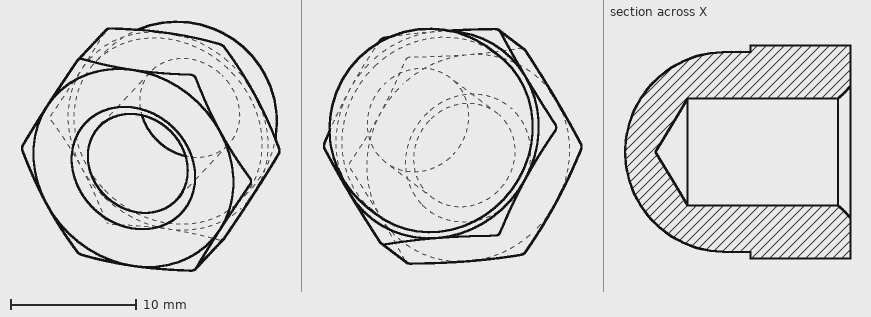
import cadquery as cq
import math

HEX_SIDES = 6
ACROSS_FLATS = 17.0
HEX_HEIGHT = 8.0
CORNER_RADIUS = 0.5
CHAMFER_ANGLE = 30.0

DOME_DIAMETER = 16.0
TOTAL_HEIGHT = 18.0

HOLE_DIAMETER = 8.5
HOLE_DEPTH = 13.0
DRILL_POINT_ANGLE = 118.0
COUNTERSINK_DIAMETER = 10.5
COUNTERSINK_ANGLE = 90.0

flat_radius = ACROSS_FLATS / 2
corner_distance = flat_radius / math.cos(math.pi / HEX_SIDES)
dome_radius = DOME_DIAMETER / 2
dome_base = TOTAL_HEIGHT - dome_radius
hole_radius = HOLE_DIAMETER / 2
countersink_radius = COUNTERSINK_DIAMETER / 2


def revolve_about_y(profile):
    """Turn a closed XY half-profile a full turn about the Y axis."""
    return profile.close().revolve(360, (0, 0, 0), (0, 1, 0))


def make_hexagon():
    """Hexagonal prism with corners along X and rounded edges along Y."""
    prism = cq.Workplane("XZ").polygon(HEX_SIDES, 2 * corner_distance).extrude(-HEX_HEIGHT)
    return prism.edges("|Y").fillet(CORNER_RADIUS)


def make_chamfer_envelope():
    """Turned body whose conical ends trim the hexagon corners."""
    chamfer_height = (corner_distance - flat_radius) * math.tan(math.radians(CHAMFER_ANGLE))
    return revolve_about_y(
        cq.Workplane("XY")
        .moveTo(0, 0)
        .lineTo(flat_radius, 0)
        .lineTo(corner_distance, chamfer_height)
        .lineTo(corner_distance, HEX_HEIGHT - chamfer_height)
        .lineTo(flat_radius, HEX_HEIGHT)
        .lineTo(0, HEX_HEIGHT)
    )


def make_dome():
    """Short cylindrical collar closed by a hemisphere."""
    diagonal = dome_radius * math.sqrt(0.5)
    return revolve_about_y(
        cq.Workplane("XY")
        .moveTo(0, HEX_HEIGHT / 2)
        .lineTo(dome_radius, HEX_HEIGHT / 2)
        .lineTo(dome_radius, dome_base)
        .threePointArc((diagonal, dome_base + diagonal), (0, TOTAL_HEIGHT))
    )


def make_hole():
    """Blind drilled hole with a conical bottom and a countersunk mouth."""
    point_height = hole_radius / math.tan(math.radians(DRILL_POINT_ANGLE / 2))
    countersink_depth = (countersink_radius - hole_radius) / math.tan(math.radians(COUNTERSINK_ANGLE / 2))
    return revolve_about_y(
        cq.Workplane("XY")
        .moveTo(0, 0)
        .lineTo(countersink_radius, 0)
        .lineTo(hole_radius, countersink_depth)
        .lineTo(hole_radius, HOLE_DEPTH)
        .lineTo(0, HOLE_DEPTH + point_height)
    )


hexagon = make_hexagon().intersect(make_chamfer_envelope())
result = hexagon.union(make_dome()).cut(make_hole())